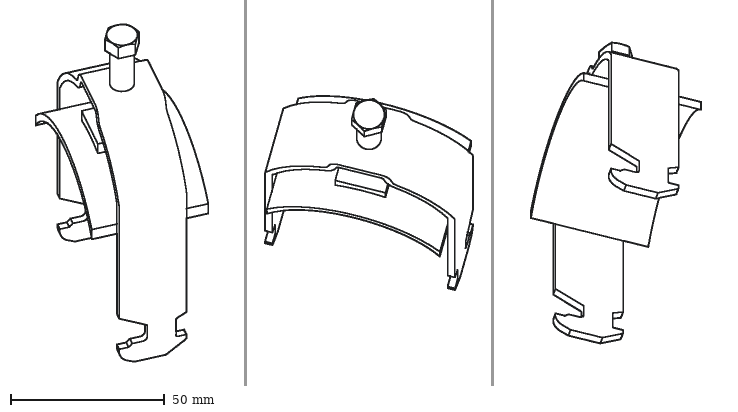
import cadquery as cq
import math

total_height = 114.3
strap_span = 64.0
strap_width = 23.1
sheet = 2.5

plate_top = 93.1
plate_half = 7.0
shoulder_radius = 35.7
shoulder_center_z = 53.8
shoulder_end_angle = math.radians(20.3)
crown_bend_radius = 3.5
valley_bend_radius = 2.3
corner_bend_radius = 2.7

hook_height = 7.0
hook_edge = 5.4
neck_front = -2.0
neck_back = 8.0
neck_top = 14.9
lip_height = 8.2
throat_radius = 1.6
neck_corner_radius = 0.5
back_shoulder_z = 16.8
front_shoulder_z = 20.4
foot_back = 4.5
foot_front = -6.4
lip_start = -7.1
lip_end = -8.3
back_tip_mid = (11.2, 4.9)
back_tip_end = (10.5, 4.3)
front_tip_start = (-9.3, 1.5)
front_tip_mid = (-11.0, 3.4)

saddle_length = 40.0
saddle_half_span = 29.2
saddle_radius = 37.2
saddle_top = 73.6
pad_width = 16.9
pad_length = 22.2
pad_top = 76.8

head_flats = 10.2
head_height = 5.3
head_top_radius = 5.0
head_chamfer_angle = math.radians(30)
shank_radius = 4.0
shank_bottom = 77.4
tip_radius = 2.1


def polar(center, radius, angle):
    """Point at an angle measured from +Z towards -X."""
    return (center[0] - radius * math.sin(angle), center[1] + radius * math.cos(angle))


def strap_face_points(inset):
    """Left half of one strap face, from the crown to the leg, as end and mid points of its lines and arcs.

    inset = 0 is the outer face; inset = sheet is the inner face.
    """
    arc_center = (0, shoulder_center_z)
    crown = (-plate_half, plate_top - crown_bend_radius)
    valley = polar(arc_center, shoulder_radius + valley_bend_radius, shoulder_end_angle)

    dx = valley[0] - crown[0]
    dz = valley[1] - crown[1]
    spacing = math.hypot(dx, dz)
    flank_angle = math.atan2(-dx, dz) - math.acos((crown_bend_radius + valley_bend_radius) / spacing)

    corner_x = -strap_span / 2 + corner_bend_radius
    corner_angle = math.asin(-corner_x / (shoulder_radius - corner_bend_radius))
    corner = polar(arc_center, shoulder_radius - corner_bend_radius, corner_angle)

    crown_r = crown_bend_radius - inset
    valley_r = valley_bend_radius + inset
    shoulder_r = shoulder_radius - inset
    corner_r = corner_bend_radius - inset
    valley_start = flank_angle + math.pi
    valley_end = shoulder_end_angle + math.pi
    leg_angle = math.pi / 2
    return [
        polar(crown, crown_r, 0),
        polar(crown, crown_r, flank_angle / 2),
        polar(crown, crown_r, flank_angle),
        polar(valley, valley_r, valley_start),
        polar(valley, valley_r, (valley_start + valley_end) / 2),
        polar(valley, valley_r, valley_end),
        polar(arc_center, shoulder_r, (shoulder_end_angle + corner_angle) / 2),
        polar(arc_center, shoulder_r, corner_angle),
        polar(corner, corner_r, (corner_angle + leg_angle) / 2),
        polar(corner, corner_r, leg_angle),
    ]


def bent_sheet():
    """Bent strip with straight legs, before the hooks are cut."""
    outer = strap_face_points(0)
    inner = strap_face_points(sheet)
    leg_outer = -strap_span / 2
    outer_face = (
        cq.Workplane("XZ")
        .moveTo(0, plate_top)
        .lineTo(*outer[0])
        .threePointArc(outer[1], outer[2])
        .lineTo(*outer[3])
        .threePointArc(outer[4], outer[5])
        .threePointArc(outer[6], outer[7])
        .threePointArc(outer[8], outer[9])
        .lineTo(leg_outer, 0)
    )
    section = (
        outer_face.lineTo(leg_outer + sheet, 0)
        .lineTo(*inner[9])
        .threePointArc(inner[8], inner[7])
        .threePointArc(inner[6], inner[5])
        .threePointArc(inner[4], inner[3])
        .lineTo(*inner[2])
        .threePointArc(inner[1], inner[0])
        .lineTo(0, plate_top - sheet)
        .close()
    )
    left = section.extrude(strap_width / 2, both=True)
    return left.union(left.mirror("YZ"))


def leg_silhouette():
    """Side outline of the strap, including the hook, extruded across the full span."""
    half = strap_width / 2
    throat_mid = throat_radius * (1 - math.sqrt(0.5))
    body = (
        cq.Workplane("YZ")
        .moveTo(half, total_height)
        .lineTo(half, back_shoulder_z)
        .lineTo(neck_back, neck_top)
        .lineTo(neck_back, hook_height)
        .lineTo(half, hook_height)
        .lineTo(half, hook_edge)
        .threePointArc(back_tip_mid, back_tip_end)
        .lineTo(foot_back, 0)
        .lineTo(foot_front, 0)
        .lineTo(*front_tip_start)
        .threePointArc(front_tip_mid, (-half, hook_edge))
        .lineTo(-half, hook_height)
        .lineTo(lip_end, hook_height)
        .lineTo(lip_start, lip_height)
        .lineTo(neck_front - throat_radius, lip_height)
        .threePointArc(
            (neck_front - throat_mid, lip_height + throat_mid),
            (neck_front, lip_height + throat_radius),
        )
        .lineTo(neck_front, neck_top)
        .lineTo(-half, front_shoulder_z)
        .lineTo(-half, total_height)
        .close()
        .extrude(strap_span / 2, both=True)
    )
    corners = [(neck_back, neck_top), (neck_back, hook_height), (neck_front, neck_top)]
    for y, z in corners:
        edge = cq.selectors.NearestToPointSelector((0, y, z))
        body = body.edges("|X").edges(edge).fillet(neck_corner_radius)
    return body


def make_strap():
    bolt_hole = (
        cq.Workplane("XY").workplane(offset=plate_top - 2 * sheet).circle(shank_radius).extrude(3 * sheet)
    )
    return bent_sheet().intersect(leg_silhouette()).cut(bolt_hole)


def make_saddle():
    """Curved saddle trimmed to the gap between the legs, with the pad on its crest."""
    center_z = saddle_top - saddle_radius
    pad = (
        cq.Workplane("XY")
        .workplane(offset=center_z)
        .rect(pad_width, pad_length)
        .extrude(pad_top - center_z)
    )
    tube = cq.Workplane("XZ").center(0, center_z).circle(saddle_radius).extrude(saddle_length / 2, both=True)
    bore = (
        cq.Workplane("XZ")
        .center(0, center_z)
        .circle(saddle_radius - sheet)
        .extrude(saddle_length / 2, both=True)
    )
    gap = (
        cq.Workplane("XY")
        .workplane(offset=center_z)
        .rect(2 * saddle_half_span, saddle_length)
        .extrude(saddle_radius)
    )
    return tube.intersect(gap).union(pad).cut(bore)


def make_bolt():
    """Hexagon bolt with corners on the Y axis and a reduced tip resting on the pad."""
    head_bottom = total_height - head_height
    corner_radius = head_flats / math.sqrt(3)
    chamfer_drop = (corner_radius - head_top_radius) * math.tan(head_chamfer_angle)
    head = (
        cq.Workplane("XY")
        .workplane(offset=head_bottom)
        .transformed(rotate=(0, 0, 90))
        .polygon(6, 2 * corner_radius)
        .extrude(head_height)
    )
    chamfer_envelope = (
        cq.Workplane("XZ")
        .moveTo(0, head_bottom)
        .lineTo(corner_radius, head_bottom)
        .lineTo(corner_radius, total_height - chamfer_drop)
        .lineTo(head_top_radius, total_height)
        .lineTo(0, total_height)
        .close()
        .revolve(360, (0, 0), (0, 1))
    )
    shank = (
        cq.Workplane("XY")
        .workplane(offset=shank_bottom)
        .circle(shank_radius)
        .extrude(head_bottom - shank_bottom)
    )
    tip = cq.Workplane("XY").workplane(offset=pad_top).circle(tip_radius).extrude(shank_bottom - pad_top)
    return head.intersect(chamfer_envelope).union(shank).union(tip)


strap = make_strap()
saddle = make_saddle()
bolt = make_bolt()

result = cq.Compound.makeCompound([body.solids().val() for body in (strap, saddle, bolt)])